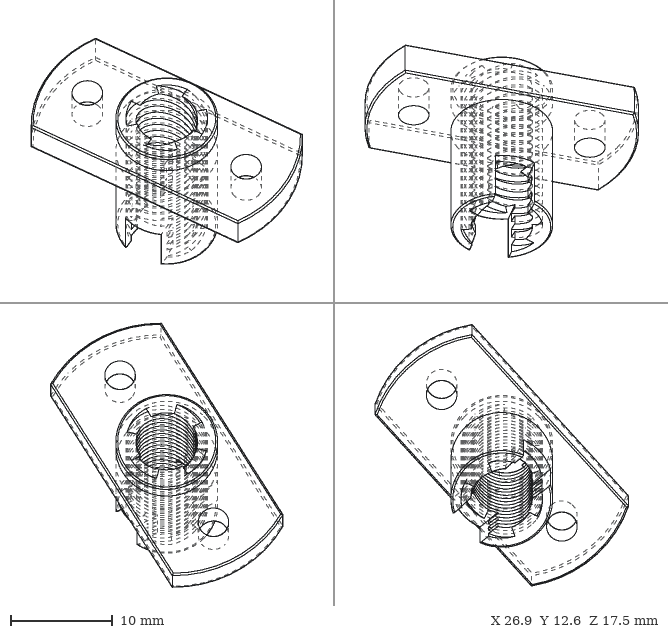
import cadquery as cq

plate_length = 26.93
plate_width = 12.6
plate_thickness = 3.5
plate_straight_length = 23.43
plate_chamfer = 0.2
mount_hole_diameter = 3.0
mount_hole_offset = 9.0

barrel_diameter = 10.0
barrel_above_plate = 2.0
barrel_below_plate = 12.0
barrel_chamfer = 0.2
barrel_top = plate_thickness + barrel_above_plate
barrel_bottom = -barrel_below_plate
barrel_height = barrel_top - barrel_bottom

slot_width = 4.0
slot_height = 4.98

bore_diameter = 6.0
groove_diameter = 8.0
thread_starts = 4
thread_lead = 8.0
groove_height = thread_lead / thread_starts / 2
first_groove_angle = 135.0
cut_margin = 0.27

barrel_seam_angle = 17.0
bore_seam_angle = 220.0


def turned(shape, angle):
    return shape.rotate((0, 0, 0), (0, 0, 1), angle)


def make_plate():
    half_length = plate_length / 2
    half_straight = plate_straight_length / 2
    half_width = plate_width / 2
    return (
        cq.Workplane("XY")
        .moveTo(-half_straight, -half_width)
        .lineTo(half_straight, -half_width)
        .threePointArc((half_length, 0), (half_straight, half_width))
        .lineTo(-half_straight, half_width)
        .threePointArc((-half_length, 0), (-half_straight, -half_width))
        .close()
        .extrude(plate_thickness)
        .faces("<Z or >Z")
        .chamfer(plate_chamfer)
    )


def make_barrel():
    return (
        cq.Workplane("XY")
        .workplane(offset=barrel_bottom)
        .circle(barrel_diameter / 2)
        .extrude(barrel_height)
        .faces("<Z or >Z")
        .chamfer(barrel_chamfer)
    )


def make_mount_holes():
    return (
        cq.Workplane("XY")
        .pushPoints([(-mount_hole_offset, 0), (mount_hole_offset, 0)])
        .circle(mount_hole_diameter / 2)
        .extrude(plate_thickness)
    )


def make_bore():
    return (
        cq.Workplane("XY")
        .workplane(offset=barrel_bottom)
        .circle(bore_diameter / 2)
        .extrude(barrel_height)
    )


def make_slot():
    return cq.Workplane("XY").box(
        slot_width, barrel_diameter, slot_height, centered=(True, True, False)
    ).translate((0, 0, barrel_bottom))


def make_groove():
    """One helical groove, running out past both ends of the barrel."""
    inner_radius = bore_diameter / 2 - cut_margin
    outer_radius = groove_diameter / 2
    run_out = thread_lead / 4
    height = barrel_height + 2 * run_out
    helix = cq.Wire.makeHelix(thread_lead, height, outer_radius)
    groove = (
        cq.Workplane("XZ")
        .moveTo(inner_radius, 0)
        .lineTo(outer_radius, 0)
        .lineTo(outer_radius, groove_height)
        .lineTo(inner_radius, groove_height)
        .close()
        .sweep(cq.Workplane(obj=helix), isFrenet=True)
    )
    floor_angle = 360 * (barrel_height + run_out) / thread_lead
    groove = groove.translate((0, 0, barrel_bottom - run_out))
    return turned(groove, first_groove_angle - floor_angle)


body = make_plate().cut(make_mount_holes()).union(turned(make_barrel(), barrel_seam_angle))
groove = make_groove()
for start in range(thread_starts):
    body = body.cut(turned(groove, 360 / thread_starts * start))
result = body.cut(turned(make_bore(), bore_seam_angle)).cut(make_slot())